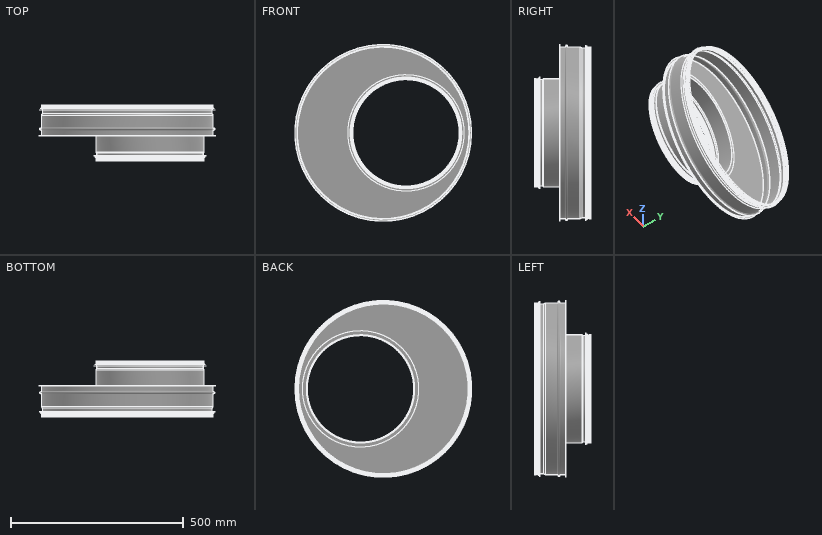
import cadquery as cq


SHEET = 0.5

COLLAR_D = 499.0
COLLAR_END_Y = 91.0
COLLAR_GROOVE_D = 494.0
COLLAR_GROOVE_LENGTH = 19.0
COLLAR_TAPER_LENGTH = 5.5
FLANGE_D = 513.0
BEAD_Y = 20.5
BEAD_RADIUS = 2.5

NECK_X = 66.0
NECK_D = 314.5
NECK_END_Y = -72.0
NECK_GROOVE_D = 310.0
NECK_GROOVE_LENGTH = 16.5
NECK_TAPER_LENGTH = 3.5
NECK_FLANGE_D = 337.5

LIP_LENGTH = 4.0
LIP_TAPER_LENGTH = 2.0

PLATE_THICKNESS = 1.0
PLATE_RECESS = 0.5
RIM_TOP_D = 502.0
RIM_FOOT_D = 499.0
RIM_ROUND = 0.75

COLLAR_GASKET_BASE_D = 495.5
COLLAR_GASKET_SHOULDER_D = 498.0
COLLAR_GASKET_LIP_DS = (504.0, 508.5)
NECK_GASKET_BASE_D = 311.5
NECK_GASKET_SHOULDER_D = 313.0
NECK_GASKET_LIP_DS = (319.0, 324.5)
WEDGE_LIP_START = 2.0
WEDGE_LIP_END = 5.0
FIN_LIP_START = 8.0
FIN_THICKNESS = 1.0


def turn(outline):
    """Revolve an (X = radius, Y = axial) outline about the Y axis."""
    return outline.close().revolve(360, (0, 0, 0), (0, 1, 0))


def disc(diameter, y_start, y_end):
    radius = diameter / 2
    return turn(cq.Workplane("XY").polyline([(0, y_start), (radius, y_start), (radius, y_end), (0, y_end)]))


def duct_outline(tube_d, groove_d, start_y, end_y, groove_length, taper_length, inset, bead_y=None):
    """Half section of a duct from its flanged start to its free end, pulled in by inset."""
    tube_r = tube_d / 2 - inset
    groove_r = groove_d / 2 - inset
    outward = 1 if end_y > start_y else -1
    lip_y = end_y - outward * LIP_LENGTH
    groove_end_y = lip_y - outward * LIP_TAPER_LENGTH
    groove_start_y = groove_end_y - outward * groove_length
    taper_y = groove_start_y - outward * taper_length

    outline = cq.Workplane("XY").moveTo(0, start_y).lineTo(tube_r, start_y)
    if bead_y is not None:
        crest_r = BEAD_RADIUS - inset
        foot_r = BEAD_RADIUS + inset
        bead_middle_r = tube_r + foot_r
        outline = (
            outline.lineTo(tube_r, bead_y - crest_r - foot_r)
            .tangentArcPoint((bead_middle_r, bead_y - crest_r), relative=False)
            .threePointArc((bead_middle_r + crest_r, bead_y), (bead_middle_r, bead_y + crest_r))
            .tangentArcPoint((tube_r, bead_y + crest_r + foot_r), relative=False)
        )
    return (
        outline.lineTo(tube_r, taper_y)
        .lineTo(groove_r, groove_start_y)
        .lineTo(groove_r, groove_end_y)
        .lineTo(tube_r, lip_y)
        .lineTo(tube_r, end_y)
        .lineTo(0, end_y)
    )


def make_duct(sizes, flange_d, flange_end_y):
    """Thin-walled duct with an outward flange at its start."""
    outside = turn(duct_outline(inset=0, **sizes)).union(disc(flange_d, sizes["start_y"], flange_end_y))
    return outside.cut(turn(duct_outline(inset=SHEET, **sizes)))


def make_collar():
    sizes = dict(
        tube_d=COLLAR_D,
        groove_d=COLLAR_GROOVE_D,
        start_y=PLATE_THICKNESS,
        end_y=COLLAR_END_Y,
        groove_length=COLLAR_GROOVE_LENGTH,
        taper_length=COLLAR_TAPER_LENGTH,
        bead_y=BEAD_Y,
    )
    return make_duct(sizes, FLANGE_D, PLATE_THICKNESS + SHEET)


def make_neck():
    sizes = dict(
        tube_d=NECK_D,
        groove_d=NECK_GROOVE_D,
        start_y=PLATE_RECESS,
        end_y=NECK_END_Y,
        groove_length=NECK_GROOVE_LENGTH,
        taper_length=NECK_TAPER_LENGTH,
    )
    return make_duct(sizes, NECK_FLANGE_D, PLATE_RECESS - SHEET).translate((NECK_X, 0, 0))


def make_plate():
    """Disc with a slightly raised rim, open where the neck joins it."""
    recess = turn(
        cq.Workplane("XY").lineTo(RIM_TOP_D / 2, 0).lineTo(RIM_FOOT_D / 2, PLATE_RECESS).lineTo(0, PLATE_RECESS)
    )
    opening = disc(NECK_D - 2 * SHEET, 0, PLATE_THICKNESS).translate((NECK_X, 0, 0))
    blank = disc(FLANGE_D, 0, PLATE_THICKNESS).faces("<Y").edges().fillet(RIM_ROUND)
    return blank.cut(recess).cut(opening)


def make_gasket(groove_d, base_d, shoulder_d, lip_ds, outer_end_y, inward):
    """Rubber ring in a groove; inward is the Y direction from its outer end into the duct."""
    groove_r = groove_d / 2
    base_r = base_d / 2
    shoulder_r = shoulder_d / 2
    wedge_r, fin_r = (lip_d / 2 for lip_d in lip_ds)
    fin_y = FIN_LIP_START
    fin_end_y = fin_y + FIN_THICKNESS
    section = [
        (groove_r, 0),
        (shoulder_r, 0),
        (shoulder_r, WEDGE_LIP_START),
        (wedge_r, WEDGE_LIP_END),
        (base_r, WEDGE_LIP_END),
        (base_r, fin_y),
        (fin_r, fin_y),
        (fin_r, fin_end_y),
        (groove_r, fin_end_y),
    ]
    return turn(cq.Workplane("XY").polyline([(r, outer_end_y + inward * y) for r, y in section]))


collar = make_collar()
plate = make_plate()
neck = make_neck()

groove_inset = LIP_LENGTH + LIP_TAPER_LENGTH
collar_gasket = make_gasket(
    COLLAR_GROOVE_D,
    COLLAR_GASKET_BASE_D,
    COLLAR_GASKET_SHOULDER_D,
    COLLAR_GASKET_LIP_DS,
    outer_end_y=COLLAR_END_Y - groove_inset,
    inward=-1,
)
neck_gasket = make_gasket(
    NECK_GROOVE_D,
    NECK_GASKET_BASE_D,
    NECK_GASKET_SHOULDER_D,
    NECK_GASKET_LIP_DS,
    outer_end_y=NECK_END_Y + groove_inset,
    inward=1,
).translate((NECK_X, 0, 0))

result = cq.Compound.makeCompound(
    [body.solids().val() for body in (collar, collar_gasket, plate, neck, neck_gasket)]
)